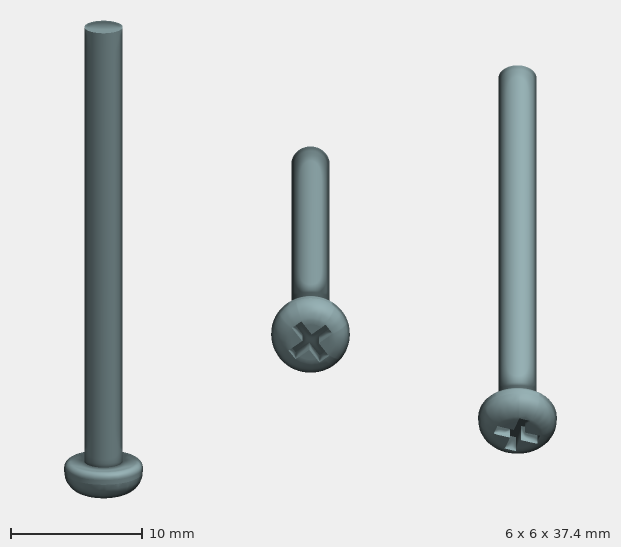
import cadquery as cq

total_length = 37.4
shank_diameter = 2.9
head_diameter = 6.0
head_height = 2.4
upper_edge_radius = 0.5
lower_edge_radius = 1.55
recess_span = 3.5
recess_arm_width = 0.9
recess_depth = 1.5

head_radius = head_diameter / 2


def make_head():
    """Round head with a small upper fillet and a large lower fillet."""
    head = cq.Workplane("XY").circle(head_radius).extrude(head_height)
    head = head.faces(">Z").edges().fillet(upper_edge_radius)
    return head.faces("<Z").edges().fillet(lower_edge_radius)


def make_shank():
    """Plain cylinder rising from the head to the full length."""
    shank_length = total_length - head_height
    return cq.Workplane("XY").workplane(offset=head_height).circle(shank_diameter / 2).extrude(shank_length)


def make_cross_recess():
    """Two crossed slots that open in the underside of the head."""
    recess = cq.Workplane("XY")
    for arm_angle in (0, 90):
        arm = cq.Workplane("XY").rect(recess_span, recess_arm_width).extrude(recess_depth)
        recess = recess.add(arm.rotate((0, 0, 0), (0, 0, 1), arm_angle))
    return recess.combine()


result = make_head().union(make_shank()).cut(make_cross_recess())